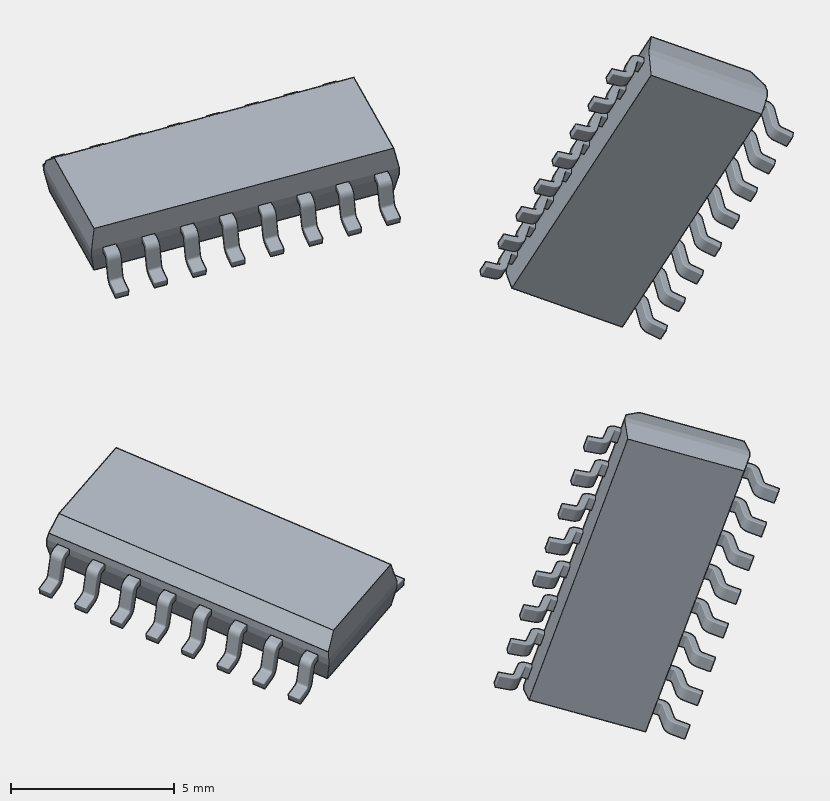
import cadquery as cq
import math

BODY_WIDTH = 4.0
BODY_LENGTH = 10.08
BODY_BOTTOM = 0.25
BODY_TOP = 2.0
BAND_TOP = 1.24
BAND_BOTTOM = 0.98
DRAFT_ANGLE = 10.0
CHAMFER_DEPTH = 0.5
CHAMFER_INSET = 0.5

LEADS_PER_SIDE = 8
LEAD_PITCH = 1.27
LEAD_SPAN = 6.16
LEAD_WIDTH = 0.43
LEAD_THICKNESS = 0.25
LEAD_TOP = BAND_TOP
LEG_ANGLE = 77.0
FOOT_ANGLE = 9.5
FOOT_LENGTH = 0.42
SHOULDER_RADIUS = 0.16
ANKLE_RADIUS = 0.23
LEAD_EDGE_RADIUS = 0.025
LEAD_EMBED = 0.2


def make_body():
    """Straight band with a drafted half above and below, and a chamfer along the -X top edge."""
    def half(start, height):
        return (
            cq.Workplane("XY", origin=(0, 0, start))
            .rect(BODY_WIDTH, BODY_LENGTH)
            .extrude(height, taper=DRAFT_ANGLE)
        )

    band = (
        cq.Workplane("XY", origin=(0, 0, BAND_BOTTOM))
        .rect(BODY_WIDTH, BODY_LENGTH)
        .extrude(BAND_TOP - BAND_BOTTOM)
    )
    upper = half(BAND_TOP, BODY_TOP - BAND_TOP)
    lower = half(-BAND_BOTTOM, BAND_BOTTOM - BODY_BOTTOM).mirror("XY")
    return lower.union(band).union(upper).cut(make_chamfer_cutter())


def make_chamfer_cutter():
    """Triangular prism that removes the -X top edge of the body."""
    wall_x = -BODY_WIDTH / 2
    chamfer_bottom = BODY_TOP - CHAMFER_DEPTH
    draft_inset = (chamfer_bottom - BAND_TOP) * math.tan(math.radians(DRAFT_ANGLE))
    low_point = (wall_x + draft_inset, chamfer_bottom)
    high_point = (wall_x + CHAMFER_INSET, BODY_TOP)
    run = high_point[0] - low_point[0]
    outer_point = (low_point[0] - run, low_point[1] - CHAMFER_DEPTH)
    upper_point = (high_point[0] + run, high_point[1] + CHAMFER_DEPTH)
    return (
        cq.Workplane("XZ")
        .polyline([outer_point, upper_point, (outer_point[0], upper_point[1])])
        .close()
        .extrude(BODY_LENGTH / 2, both=True)
    )


def make_lead():
    """Gull-wing lead on the +X side, swept along its centreline at Y = 0, with rounded edges."""
    leg = math.radians(LEG_ANGLE)
    foot = math.radians(FOOT_ANGLE)
    half_thickness = LEAD_THICKNESS / 2

    corner_offset = half_thickness - LEAD_EDGE_RADIUS
    upper_corner_x = LEAD_SPAN / 2 - LEAD_EDGE_RADIUS
    lower_corner_z = LEAD_EDGE_RADIUS
    tip_x = upper_corner_x - corner_offset * math.sin(foot) + LEAD_EDGE_RADIUS * math.cos(foot)
    tip_z = lower_corner_z + corner_offset * math.cos(foot) - LEAD_EDGE_RADIUS * math.sin(foot)
    start_x = BODY_WIDTH / 2 - LEAD_EMBED
    stub_z = LEAD_TOP - half_thickness

    foot_x = tip_x - FOOT_LENGTH * math.cos(foot)
    foot_z = tip_z + FOOT_LENGTH * math.sin(foot)
    ankle_x = foot_x - ANKLE_RADIUS * (math.sin(leg) - math.sin(foot))
    ankle_z = foot_z + ANKLE_RADIUS * (math.cos(foot) - math.cos(leg))
    knee_z = stub_z - SHOULDER_RADIUS * (1 - math.cos(leg))
    knee_x = ankle_x - (knee_z - ankle_z) / math.tan(leg)
    stub_x = knee_x - SHOULDER_RADIUS * math.sin(leg)

    centreline = (
        cq.Workplane("XZ")
        .moveTo(start_x, stub_z)
        .lineTo(stub_x, stub_z)
        .tangentArcPoint((knee_x, knee_z), relative=False)
        .lineTo(ankle_x, ankle_z)
        .tangentArcPoint((foot_x, foot_z), relative=False)
        .lineTo(tip_x, tip_z)
    )
    return (
        cq.Workplane("YZ", origin=(start_x, 0, stub_z))
        .rect(LEAD_WIDTH, LEAD_THICKNESS)
        .sweep(centreline)
        .faces(">Y or <Y or >X")
        .edges("not <X")
        .fillet(LEAD_EDGE_RADIUS)
    )


def add_leads(body):
    """Place one row of leads along each long side of the body."""
    right_lead = make_lead()
    left_lead = right_lead.mirror("YZ")
    first_y = -(LEADS_PER_SIDE - 1) * LEAD_PITCH / 2
    for index in range(LEADS_PER_SIDE):
        lead_y = first_y + index * LEAD_PITCH
        for lead in (right_lead, left_lead):
            body = body.union(lead.translate((0, lead_y, 0)))
    return body


result = add_leads(make_body())